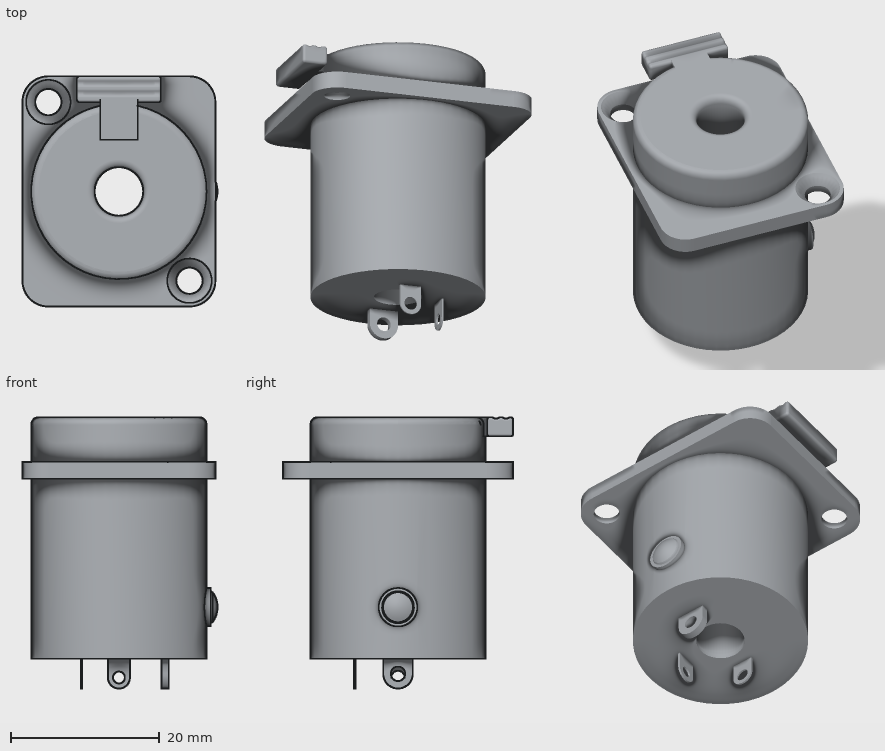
import cadquery as cq
import math


barrel_diameter = 23.6
barrel_height = 32.5
bore_diameter = 6.5
rim_radius = 1.0

flange_width = 26.0
flange_length = 31.0
flange_thickness = 2.25
flange_bottom = 24.2
flange_corner_radius = 3.5
mount_hole_x = 9.5
mount_hole_y = 12.0
mount_hole_diameter = 3.5
countersink_diameter = 6.0
countersink_angle = 90

lug_length = 4.0
lug_sheet = 0.25
front_lug_y = -5.85
front_lug_width = 3.0
front_lug_hole = 1.57
left_lug_x = -5.05
left_lug_width = 3.0
left_lug_hole = 1.8
right_lug_x = 6.2
right_lug_width = 4.0
right_lug_hole = 1.95
right_lug_thickness = 1.02

screw_z = 6.95
screw_root_x = 10.8
screw_flange_radius = 5.2 / 2
screw_flange_x = 12.38
screw_lip_radius = 4.3 / 2
screw_dome_radius = 4.0 / 2
screw_dome_x = 12.6
screw_tip_x = 13.3

latch_height = 2.6
latch_head_width = 11.3
latch_head_depth = 3.5
latch_edge_radius = 0.35
latch_stem_width = 5.05
latch_stem_end_y = 6.97
groove_width = 1.15
groove_hollow_width = 0.65
groove_depth = 0.2
groove_ys = (14.53, 13.18)

flange_top = flange_bottom + flange_thickness
latch_bottom = barrel_height - latch_height
latch_back_y = flange_length / 2
latch_front_y = latch_back_y - latch_head_depth


def make_lug(width, thickness, hole_diameter):
    """Round-ended lug hanging below Z = 0, with its thickness along Y and centred on the origin."""
    radius = width / 2
    centre_z = radius - lug_length
    lug = (
        cq.Workplane("XZ")
        .moveTo(-radius, 0)
        .lineTo(-radius, centre_z)
        .threePointArc((0, -lug_length), (radius, centre_z))
        .lineTo(radius, 0)
        .close()
        .extrude(thickness / 2, both=True)
    )
    hole = cq.Workplane("XZ").center(0, centre_z).circle(hole_diameter / 2).extrude(thickness, both=True)
    return lug.cut(hole)


def turn_to_face_x(lug):
    """Quarter turn about Z, so that the lug's thickness runs along X."""
    return lug.rotate((0, 0, 0), (0, 0, 1), 90)


def make_lugs():
    """Three solder lugs: one facing Y and two facing X."""
    front = make_lug(front_lug_width, lug_sheet, front_lug_hole)
    left = make_lug(left_lug_width, lug_sheet, left_lug_hole)
    right = make_lug(right_lug_width, right_lug_thickness, right_lug_hole)
    return [
        front.translate((0, front_lug_y, 0)),
        turn_to_face_x(left).translate((left_lug_x, 0, 0)),
        turn_to_face_x(right).translate((right_lug_x, 0, 0)),
    ]


def make_barrel():
    """Bored barrel with its rim and bore mouth rounded at the top."""
    barrel = cq.Workplane("XY").circle(barrel_diameter / 2).circle(bore_diameter / 2).extrude(barrel_height)
    return barrel.faces(">Z").edges().fillet(rim_radius)


def make_flange():
    """Rectangular plate with rounded corners and two countersunk mounting holes."""
    flange = (
        cq.Workplane("XY")
        .workplane(offset=flange_bottom)
        .rect(flange_width, flange_length)
        .extrude(flange_thickness)
        .edges("|Z")
        .fillet(flange_corner_radius)
    )
    flange = (
        flange.faces(">Z")
        .workplane(origin=(0, 0, flange_top))
        .pushPoints([(-mount_hole_x, mount_hole_y), (mount_hole_x, -mount_hole_y)])
        .cskHole(mount_hole_diameter, countersink_diameter, countersink_angle)
    )
    bore = (
        cq.Workplane("XY")
        .workplane(offset=flange_bottom)
        .circle(bore_diameter / 2)
        .extrude(flange_thickness)
    )
    return flange.cut(bore)


def make_screw_head():
    """Domed head turned about an X-direction axis, starting inside the barrel wall."""
    dome_height = screw_tip_x - screw_dome_x
    sphere_radius = (screw_dome_radius**2 + dome_height**2) / (2 * dome_height)
    mid_angle = math.asin(screw_dome_radius / sphere_radius) / 2
    mid_x = screw_tip_x - sphere_radius * (1 - math.cos(mid_angle))
    profile = (
        cq.Workplane("XZ", origin=(0, 0, screw_z))
        .moveTo(screw_root_x, 0)
        .lineTo(screw_root_x, screw_flange_radius)
        .lineTo(screw_flange_x, screw_flange_radius)
        .lineTo(screw_flange_x, screw_lip_radius)
        .lineTo(screw_dome_x, screw_dome_radius)
        .threePointArc((mid_x, sphere_radius * math.sin(mid_angle)), (screw_tip_x, 0))
        .close()
    )
    return profile.revolve(360, (0, 0, 0), (1, 0, 0))


def make_latch_stem(end_y):
    """Flat stem running in Y from the latch seat to end_y."""
    return (
        cq.Workplane("XY")
        .workplane(offset=latch_bottom)
        .center(0, (latch_stem_end_y + end_y) / 2)
        .rect(latch_stem_width, end_y - latch_stem_end_y)
        .extrude(latch_height)
    )


def add_groove(profile, groove_y):
    """Trace one groove in the top line: a hollow arc that meets the top through two rounded shoulders."""
    half_width = groove_width / 2
    slope = 2 * math.atan(groove_depth / half_width)
    hollow_radius = groove_hollow_width / 2 / math.sin(slope)
    shoulder_radius = half_width / math.sin(slope) - hollow_radius
    meet_y = groove_hollow_width / 2
    meet_z = barrel_height - shoulder_radius * (1 - math.cos(slope))
    mid_y = half_width - shoulder_radius * math.sin(slope / 2)
    mid_z = barrel_height - shoulder_radius * (1 - math.cos(slope / 2))
    return (
        profile.lineTo(groove_y + half_width, barrel_height)
        .threePointArc((groove_y + mid_y, mid_z), (groove_y + meet_y, meet_z))
        .threePointArc((groove_y, barrel_height - groove_depth), (groove_y - meet_y, meet_z))
        .threePointArc((groove_y - mid_y, mid_z), (groove_y - half_width, barrel_height))
    )


def make_latch_head():
    """Thumb bar with rounded edges and two grooves along X."""
    profile = cq.Workplane("YZ").moveTo(latch_back_y, latch_bottom).lineTo(latch_back_y, barrel_height)
    for groove_y in groove_ys:
        profile = add_groove(profile, groove_y)
    head = (
        profile.lineTo(latch_front_y, barrel_height)
        .lineTo(latch_front_y, latch_bottom)
        .close()
        .extrude(latch_head_width / 2, both=True)
    )
    end_edges = head.faces("<X or >X").edges()
    long_edges = head.faces("<Y or >Y").edges("|X")
    return end_edges.add(long_edges).fillet(latch_edge_radius)


def make_housing():
    """Barrel, flange, screw head and lugs, with a pocket for the latch stem."""
    housing = make_barrel().union(make_flange()).union(make_screw_head())
    for lug in make_lugs():
        housing = housing.union(lug)
    return housing.cut(make_latch_stem(latch_front_y))


def make_latch():
    """Thumb bar and stem; the stem reaches past the rounded front edge of the bar."""
    return make_latch_head().union(make_latch_stem(latch_front_y + latch_edge_radius))


housing = make_housing()
latch = make_latch()

result = cq.Compound.makeCompound([housing.val(), latch.val()])